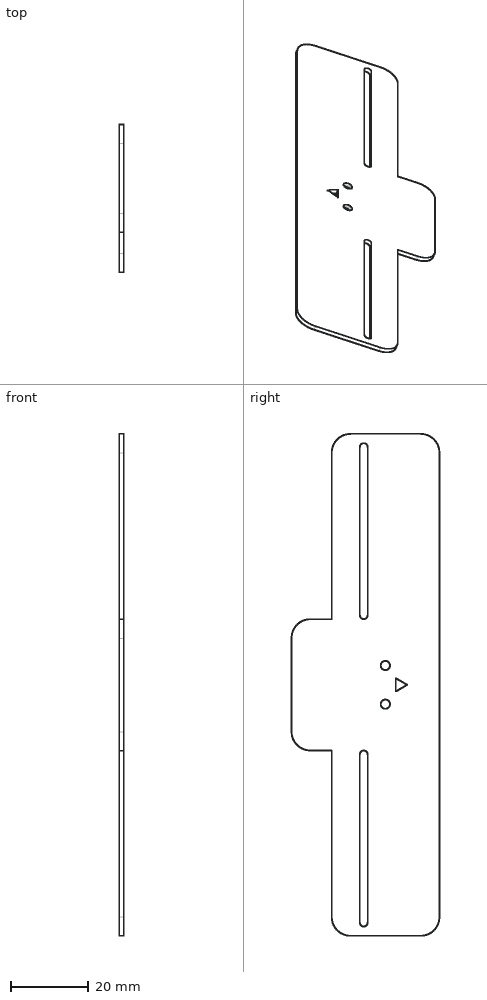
import cadquery as cq

thickness = 1.2
plate_height = 130.0
overall_width = 38.4
body_width = 28.0
tab_height = 34.0
corner_radius = 5.0

slot_width = 2.0
slot_length = 45.5
slot_inset = 19.6

hole_diameter = 2.3
hole_spacing = 10.0
hole_inset = 14.0

arrow_tip_inset = 8.5
arrow_length = 2.9
arrow_width = 3.4

back_edge = overall_width / 2
body_center = back_edge - body_width / 2
slot_y = back_edge - slot_inset
hole_y = back_edge - hole_inset
arrow_tip_y = back_edge - arrow_tip_inset
arrow_base_y = arrow_tip_y - arrow_length

slot_center_z = tab_height / 2 + slot_length / 2


def mid_plane():
    """YZ sketch plane through the middle of the plate thickness."""
    return cq.Workplane("YZ")


def rounded_plate(width, height, center_y):
    """Flat plate with its four corners rounded."""
    plate = mid_plane().center(center_y, 0).rect(width, height).extrude(thickness / 2, both=True)
    return plate.edges("|X").fillet(corner_radius)


def cutter(outline):
    """Extrude a closed outline right through the plate."""
    return outline.extrude(thickness, both=True)


body = rounded_plate(body_width, plate_height, body_center)
tab = rounded_plate(overall_width, tab_height, 0)
plate = body.union(tab)

slots = cutter(
    mid_plane()
    .pushPoints([(slot_y, side * slot_center_z) for side in (1, -1)])
    .slot2D(slot_length, slot_width, 90)
)

holes = cutter(
    mid_plane()
    .pushPoints([(hole_y, side * hole_spacing / 2) for side in (1, -1)])
    .circle(hole_diameter / 2)
)

arrow = cutter(
    mid_plane().polyline(
        [
            (arrow_tip_y, 0),
            (arrow_base_y, arrow_width / 2),
            (arrow_base_y, -arrow_width / 2),
        ]
    ).close()
)

result = plate.cut(slots).cut(holes).cut(arrow)